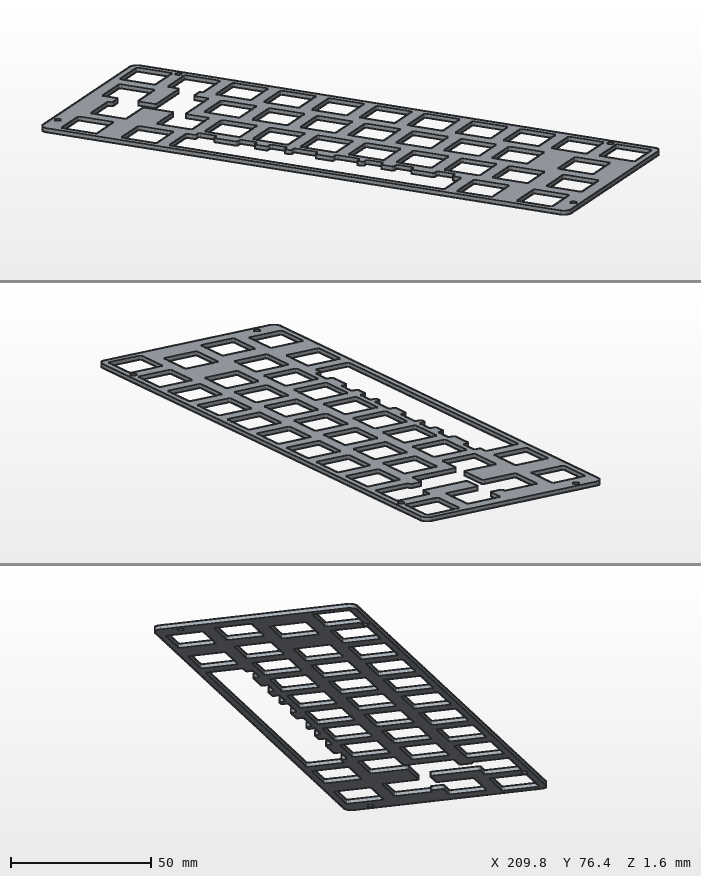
import cadquery as cq

PLATE_LENGTH = 209.8
PLATE_WIDTH = 76.4
PLATE_THICKNESS = 1.6
PLATE_CORNER_RADIUS = 3.0

UNITS_PER_ROW = 11
ROW_COUNT = 4
EDGE_MARGIN = 0.15
KEY_PITCH = (PLATE_LENGTH - 2 * EDGE_MARGIN) / UNITS_PER_ROW
SWITCH_SIZE = 14.0
CUTOUT_CORNER_RADIUS = 0.6

TOP_ROW = [0.5 + i for i in range(UNITS_PER_ROW)]
HOME_ROW = [0.625] + [1.75 + i for i in range(8)] + [10.125]
LOWER_ROW = [0.875] + [2.25 + i for i in range(8)] + [10.375]
BOTTOM_ROW = [0.75, 2.0, 9.0, 10.25]
KEY_ROWS = [TOP_ROW, HOME_ROW, LOWER_ROW, BOTTOM_ROW]

NECK_RIGHT_X = -70.5
BRIDGE_LEFT_X = -93.4

SPACE_FIRST_KEY = 3.0
SPACE_LAST_KEY = 8.0
NOTCH_HEIGHT = 2.5
NOTCH_SPANS = [(3.5, 13.0), (15.7, 22.5), (27.7, 34.5), (43.8, 51.0)]

HOLE_DIAMETER = 2.3
TOP_HOLE_X = 85.8
TOP_HOLE_Y = 35.7
SIDE_HOLE_X = 102.4
SIDE_HOLE_Y = -28.3


def key_x(units):
    """X of a switch centre given in key units from the left end of the grid."""
    return (units - UNITS_PER_ROW / 2) * KEY_PITCH


def row_y(row):
    """Y of a row's switch centres; row 0 is the top row."""
    return ((ROW_COUNT - 1) / 2 - row) * KEY_PITCH


def block(left, right, bottom, top):
    """Full-thickness block between the given X and Y limits."""
    return (
        cq.Workplane("XY")
        .box(right - left, top - bottom, PLATE_THICKNESS, centered=False)
        .translate((left, bottom, 0))
    )


def switch_cutouts():
    points = [(key_x(units), row_y(row)) for row, keys in enumerate(KEY_ROWS) for units in keys]
    return cq.Workplane("XY").pushPoints(points).rect(SWITCH_SIZE, SWITCH_SIZE).extrude(PLATE_THICKNESS)


def joining_openings():
    """Neck from the top row to the home row, and bridge from the home row to the lower row."""
    half = SWITCH_SIZE / 2
    joined_key_x = key_x(HOME_ROW[1])
    neck = block(joined_key_x - half, NECK_RIGHT_X, row_y(1), row_y(0))
    bridge = block(BRIDGE_LEFT_X, joined_key_x + half, row_y(2) + half, row_y(1) - half)
    return neck.union(bridge)


def space_bar_slot():
    half = SWITCH_SIZE / 2
    slot_top = row_y(3) + half
    slot = block(key_x(SPACE_FIRST_KEY) - half, key_x(SPACE_LAST_KEY) + half, row_y(3) - half, slot_top)
    for inner, outer in NOTCH_SPANS:
        for left, right in ((-outer, -inner), (inner, outer)):
            slot = slot.union(block(left, right, row_y(3), slot_top + NOTCH_HEIGHT))
    return slot


plate = (
    cq.Workplane("XY")
    .rect(PLATE_LENGTH, PLATE_WIDTH)
    .extrude(PLATE_THICKNESS)
    .edges("|Z")
    .fillet(PLATE_CORNER_RADIUS)
)

cutouts = switch_cutouts().union(joining_openings()).union(space_bar_slot()).clean()
cutouts = cutouts.edges("|Z").fillet(CUTOUT_CORNER_RADIUS)

hole_points = [
    (side * x, y)
    for side in (-1, 1)
    for x, y in ((TOP_HOLE_X, TOP_HOLE_Y), (SIDE_HOLE_X, SIDE_HOLE_Y))
]
holes = cq.Workplane("XY").pushPoints(hole_points).circle(HOLE_DIAMETER / 2).extrude(PLATE_THICKNESS)

result = plate.cut(cutouts).cut(holes)